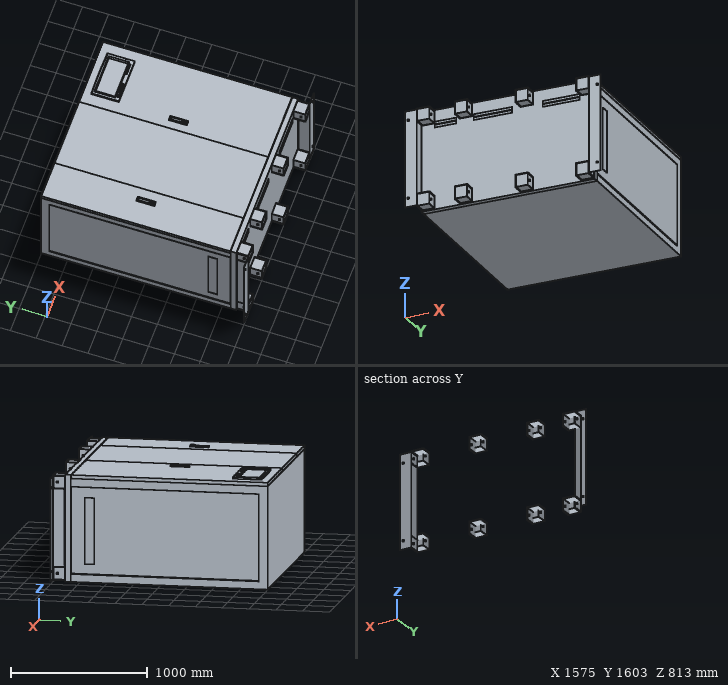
import cadquery as cq

overall_width = 1575.0
overall_length = 1603.0
overall_height = 813.0

cabinet_width = 1400.0
cabinet_depth = 800.0
back_end = overall_length / 2
foot_end = -overall_length / 2
half_width = cabinet_width / 2

foot_length = 93.0
base_thickness = 43.0
base_bottom = foot_end + foot_length
base_top = base_bottom + base_thickness
foot_size = 101.0
foot_wall = 4.0
foot_inset = 8.0
side_foot_x = half_width - foot_inset - foot_size / 2
foot_xs = (-side_foot_x, -337.0, 152.0, side_foot_x)
foot_zs = (foot_inset + foot_size / 2, cabinet_depth - foot_inset - foot_size / 2)
foot_hole_diameter = 13.0
foot_hole_y = foot_end + 34.0

cable_slot_spans = ((-590.0, -418.0), (-275.0, 32.0), (279.0, 579.0))
cable_slot_tops = (705.0, 680.0)
cable_slot_height = 21.0

shallow_depth = 2.0

door_thickness = 27.0
door_gap = 3.0
door_bottom = base_top + door_gap
door_back = cabinet_depth - door_thickness
left_seam_x = -399.0
right_seam_x = 155.0

panel_bottom_z = 60.0
panel_top_z = 712.0
panel_back_y = back_end - 65.0
panel_lip = 5.0
vent_start_y = -563.0
vent_end_y = -490.0
vent_start_z = 138.0
vent_end_z = 633.0

handle_width = 35.0
handle_length = 140.0
handle_plate_height = 5.0
handle_center_y = 58.0
handle_xs = (-495.0, 237.0)
lever_width = 20.0
lever_length = 83.0
lever_center_y = 74.0
lever_height = 6.0
lock_width = 16.0
lock_length = 32.0
lock_center_y = 10.0

fitting_height = overall_height - cabinet_depth
display_left = 247.0
display_right = 609.0
display_bottom = 524.0
display_side_top = 735.0
display_crown = 3.0
screen_left = 268.0
screen_right = 590.0
screen_bottom = 558.0
screen_top = 720.0
screen_depth = 6.0
screen_taper_x = 13.0
screen_taper_y = 6.0
left_strip = (279.0, 537.0, 399.0, 551.0)
right_strip = (484.0, 543.0, 572.0, 551.0)

bracket_thickness = 3.0
bracket_end_inset = 15.0
bracket_gap = 5.0
bracket_hole_diameter = 13.0
bracket_hole_x = 761.0
bracket_hole_zs = (85.0, 712.0)


def block(x0, x1, y0, y1, z0, z1):
    """Box between two corners."""
    return cq.Workplane("XY").box(x1 - x0, y1 - y0, z1 - z0, centered=False).translate((x0, y0, z0))


def cross_holes():
    """Bars along X for the holes through the feet and the bracket webs."""
    return (
        cq.Workplane("YZ", origin=(-half_width, 0, 0))
        .pushPoints([(foot_hole_y, z) for z in foot_zs])
        .circle(foot_hole_diameter / 2)
        .extrude(cabinet_width)
    )


def make_cabinet():
    """Cabinet carcass with a shallow vented panel in each side."""
    cabinet = block(-half_width, half_width, base_top, back_end, 0, door_back)
    panel_start_y = base_top + door_gap
    for side in (-1, 1):
        face_x = side * half_width
        floor_x = face_x - side * shallow_depth
        vent_floor_x = floor_x - side * shallow_depth
        x0, x1 = sorted((face_x, floor_x))
        cabinet = cabinet.cut(block(x0, x1, panel_start_y, panel_back_y, panel_bottom_z, panel_top_z))
        x0, x1 = sorted((floor_x, vent_floor_x))
        cabinet = cabinet.cut(
            block(x0, x1, panel_start_y, panel_back_y, panel_bottom_z, panel_bottom_z + panel_lip)
        )
        cabinet = cabinet.cut(block(x0, x1, vent_start_y, vent_end_y, vent_start_z, vent_end_z))
    return cabinet


def make_foot(x, z):
    """Hollow square foot, closed at its lower end."""
    outer = foot_size / 2
    inner = outer - foot_wall
    tube = block(x - outer, x + outer, foot_end, base_bottom, z - outer, z + outer)
    hollow = block(x - inner, x + inner, foot_end + foot_wall, base_bottom, z - inner, z + inner)
    return tube.cut(hollow)


def make_base():
    """Base plate with its eight feet and cable slots."""
    base = block(-half_width, half_width, base_bottom, base_top, 0, cabinet_depth)
    for x0, x1 in cable_slot_spans:
        for top in cable_slot_tops:
            base = base.cut(
                block(x0, x1, base_bottom, base_bottom + shallow_depth, top - cable_slot_height, top)
            )
    for x in foot_xs:
        for z in foot_zs:
            base = base.union(make_foot(x, z))
    return base.cut(cross_holes())


def make_bracket(side):
    """Angle bracket: a web against the outer feet and a flange turned outwards."""
    z0 = bracket_end_inset
    z1 = cabinet_depth - bracket_end_inset
    inner_x = half_width - foot_inset
    web = block(inner_x, inner_x + bracket_thickness, foot_end, base_bottom - bracket_gap, z0, z1)
    flange = block(inner_x, overall_width / 2, foot_end, foot_end + bracket_thickness, z0, z1)
    flange_holes = (
        cq.Workplane("XZ", origin=(0, foot_end + bracket_thickness, 0))
        .pushPoints([(bracket_hole_x, z) for z in bracket_hole_zs])
        .circle(bracket_hole_diameter / 2)
        .extrude(bracket_thickness)
    )
    bracket = web.union(flange).cut(flange_holes).cut(cross_holes())
    return bracket if side > 0 else bracket.mirror("YZ")


def make_handle(x):
    """Handle plate with a slightly raised lever and a taller lock."""
    def bar(width, length, y, height):
        x0 = x - width / 2
        y0 = y - length / 2
        return block(x0, x0 + width, y0, y0 + length, cabinet_depth, cabinet_depth + height)

    plate = bar(handle_width, handle_length, handle_center_y, handle_plate_height)
    lever = bar(lever_width, lever_length, lever_center_y, lever_height)
    lock = bar(lock_width, lock_length, lock_center_y, fitting_height)
    return plate.union(lever).union(lock)


def make_display():
    """Display housing with an arched upper edge, a tapered screen recess and two strips."""
    center_x = (display_left + display_right) / 2
    housing = (
        cq.Workplane("XY", origin=(0, 0, cabinet_depth))
        .moveTo(display_left, display_bottom)
        .lineTo(display_right, display_bottom)
        .lineTo(display_right, display_side_top)
        .threePointArc((center_x, display_side_top + display_crown), (display_left, display_side_top))
        .close()
        .extrude(fitting_height)
    )
    width = screen_right - screen_left
    height = screen_top - screen_bottom
    screen = (
        cq.Workplane("XY", origin=(center_x, (screen_bottom + screen_top) / 2, overall_height))
        .rect(width, height)
        .workplane(offset=-screen_depth)
        .rect(width - 2 * screen_taper_x, height - 2 * screen_taper_y)
        .loft()
    )
    housing = housing.cut(screen)
    for x0, y0, x1, y1 in (left_strip, right_strip):
        housing = housing.cut(block(x0, x1, y0, y1, overall_height - shallow_depth, overall_height))
    return housing


def make_door(x0, x1):
    """Plain door slab between two seams."""
    return block(x0, x1, door_bottom, back_end, door_back, cabinet_depth)


cabinet = make_cabinet()
base = make_base()
left_door = make_door(-half_width, left_seam_x).union(make_handle(handle_xs[0]))
middle_door = make_door(left_seam_x, right_seam_x)
right_door = make_door(right_seam_x, half_width).union(make_handle(handle_xs[1])).union(make_display())
brackets = [make_bracket(side) for side in (-1, 1)]

bodies = [cabinet, base, left_door, middle_door, right_door, *brackets]
result = cq.Compound.makeCompound([body.solids().val() for body in bodies])